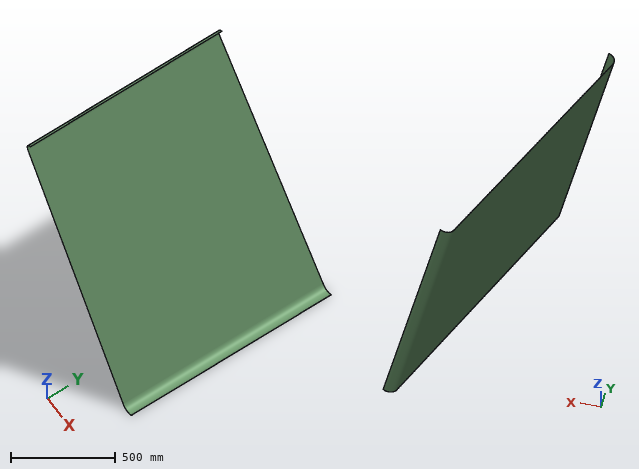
import cadquery as cq
import math

width_x = 871.0
height_z = 1378.0
depth_low = 1169.0
depth_high = 1119.0
bend_radius = 45.0
lip_length = 7.0
thickness = 1.5

span_x = width_x - bend_radius
span_z = height_z - bend_radius
diagonal_tilt = math.atan2(span_z, span_x)
lip_ratio = lip_length / math.hypot(span_x, span_z)
tilt = diagonal_tilt
SUBSTITUTIONS = 10
for _ in range(SUBSTITUTIONS):
    tilt = diagonal_tilt - math.asin(lip_ratio * math.cos(2 * tilt))

run_length = (span_x - lip_length * math.sin(tilt)) / math.cos(tilt)
flat_length = run_length - bend_radius
inner_radius = bend_radius - thickness
lip_height = bend_radius + lip_length

down_x = math.cos(tilt)
down_z = -math.sin(tilt)
origin_x = bend_radius + bend_radius * down_z
origin_z = height_z + bend_radius * down_z - lip_height * down_x
sheet_plane = cq.Plane(
    origin=(origin_x, 0, origin_z),
    xDir=(down_x, 0, down_z),
    normal=(0, -1, 0),
)


def make_sheet():
    """Flat panel with a quarter-round bend and short lip at each end, at full depth."""
    diagonal = math.sqrt(0.5)
    outer_mid = bend_radius * diagonal
    inner_mid = inner_radius * diagonal
    return (
        cq.Workplane(sheet_plane)
        .moveTo(0, 0)
        .lineTo(flat_length, 0)
        .threePointArc(
            (flat_length + outer_mid, bend_radius - outer_mid),
            (flat_length + bend_radius, bend_radius),
        )
        .lineTo(flat_length + bend_radius, lip_height)
        .lineTo(flat_length + inner_radius, lip_height)
        .lineTo(flat_length + inner_radius, bend_radius)
        .threePointArc(
            (flat_length + inner_mid, bend_radius - inner_mid),
            (flat_length, thickness),
        )
        .lineTo(0, thickness)
        .threePointArc((-inner_mid, bend_radius - inner_mid), (-inner_radius, bend_radius))
        .lineTo(-inner_radius, lip_height)
        .lineTo(-bend_radius, lip_height)
        .lineTo(-bend_radius, bend_radius)
        .threePointArc((-outer_mid, bend_radius - outer_mid), (0, 0))
        .close()
        .extrude(-depth_low)
    )


def make_back_trim():
    """Waste beyond the back edge: straight at the upper lip, sloping along the panel."""
    margin = 14.0
    panel_plane = cq.Plane(
        origin=(origin_x, 0, origin_z),
        xDir=(down_x, 0, down_z),
        normal=(-down_z, 0, down_x),
    )
    return (
        cq.Workplane(panel_plane)
        .workplane(offset=-margin)
        .moveTo(-bend_radius - margin, depth_high)
        .lineTo(0, depth_high)
        .lineTo(flat_length, depth_low)
        .lineTo(flat_length, depth_low + margin)
        .lineTo(-bend_radius - margin, depth_low + margin)
        .close()
        .extrude(lip_height + 2 * margin)
    )


result = make_sheet().cut(make_back_trim())